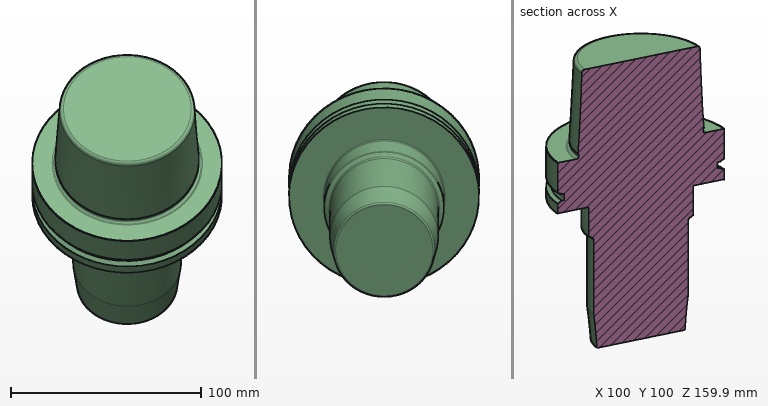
import cadquery as cq
import math

taper_height = 49.9
taper_ratio = 1 / 9.98
taper_base_radius = 38.0
taper_tip_fillet = 2.0

relief_height = 2.7
relief_depth = 0.45
relief_bevel_fillet = 1.2
relief_root_fillet = 1.2
undercut_outer_radius = 39.5
undercut_angle = 10.0

flange_radius = 50.0
flange_thickness = 29.0
flange_edge_break = 0.2
upper_rim_thickness = 17.1
groove_width = 6.2
groove_floor_radius = 46.0
groove_floor_width = 3.4
groove_bevel_radius = 47.5
groove_floor_fillet = 0.5

collar_radius = 31.5
collar_length = 16.6
collar_root_fillet = 0.5
collar_edge_fillet = 0.5
collar_bevel_angle = 60.0
shank_radius = 28.5
shank_root_fillet = 1.1
shank_length = 110.0
nose_length = 20.0
nose_end_radius = 26.5
nose_end_fillet = 1.0


def taper_radius(z):
    """Radius of the upper taper at height z."""
    return taper_base_radius - z * taper_ratio / 2


relief_radius = taper_radius(relief_height) - relief_depth
relief_bevel_end = relief_height - relief_depth
undercut_depth = (undercut_outer_radius - relief_radius) * math.tan(math.radians(undercut_angle))

groove_top = -upper_rim_thickness
groove_bottom = groove_top - groove_width
groove_middle = (groove_top + groove_bottom) / 2
floor_top = groove_middle + groove_floor_width / 2
floor_bottom = groove_middle - groove_floor_width / 2

collar_bottom = -flange_thickness - collar_length
collar_bevel_height = (collar_radius - shank_radius) / math.tan(math.radians(collar_bevel_angle))
shank_top = collar_bottom - collar_bevel_height
shank_end = -shank_length
nose_top = shank_end + nose_length


def turned_body():
    """Sharp-cornered solid of revolution about Z."""
    outline = [
        (0, taper_height),
        (taper_radius(taper_height), taper_height),
        (taper_radius(relief_height), relief_height),
        (relief_radius, relief_bevel_end),
        (relief_radius, -undercut_depth),
        (undercut_outer_radius, 0),
        (flange_radius - flange_edge_break, 0),
        (flange_radius, -flange_edge_break),
        (flange_radius, groove_top),
        (groove_bevel_radius, floor_top),
        (groove_floor_radius, floor_top),
        (groove_floor_radius, floor_bottom),
        (groove_bevel_radius, floor_bottom),
        (flange_radius, groove_bottom),
        (flange_radius, -flange_thickness),
        (collar_radius, -flange_thickness),
        (collar_radius, collar_bottom),
        (shank_radius, shank_top),
        (shank_radius, nose_top),
        (nose_end_radius, shank_end),
        (0, shank_end),
    ]
    profile = cq.Workplane("XZ").polyline(outline).close()
    return profile.revolve(360, (0, 0, 0), (0, 1, 0))


def round_ring(body, ring_radius, z, fillet_radius):
    """Fillet the circular edge of the given radius at height z."""
    tolerance = 0.01
    outer = ring_radius + tolerance
    lower_corner = (-outer, -outer, z - tolerance)
    upper_corner = (outer, outer, z + tolerance)
    ring = cq.selectors.BoxSelector(lower_corner, upper_corner, boundingbox=True)
    largest = cq.selectors.RadiusNthSelector(-1)
    return body.edges("%CIRCLE").edges(ring).edges(largest).fillet(fillet_radius)


rounded_rings = [
    (taper_radius(taper_height), taper_height, taper_tip_fillet),
    (relief_radius, relief_bevel_end, relief_bevel_fillet),
    (relief_radius, -undercut_depth, relief_root_fillet),
    (groove_floor_radius, floor_top, groove_floor_fillet),
    (groove_floor_radius, floor_bottom, groove_floor_fillet),
    (collar_radius, -flange_thickness, collar_root_fillet),
    (collar_radius, collar_bottom, collar_edge_fillet),
    (shank_radius, shank_top, shank_root_fillet),
    (nose_end_radius, shank_end, nose_end_fillet),
]

result = turned_body()
for ring_radius, ring_height, fillet_radius in rounded_rings:
    result = round_ring(result, ring_radius, ring_height, fillet_radius)